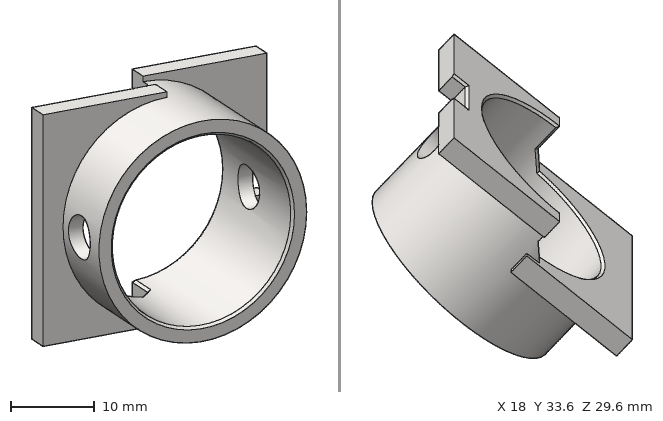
import cadquery as cq
import math

total_length = 18.0
plate_width = 33.6
plate_height = 29.6

tube_diameter = 28.2
bore_diameter = 24.2

front_plate_thickness = 2.8
rear_plate_thickness = 2.9
rear_plate_x = 5.98

ramp_size = 2.0

side_hole_diameter = 5.5
front_side_hole_x = 7.02
rear_side_hole_x = front_side_hole_x + rear_plate_x

notch_depth = 2.05
notch_height = 6.3

edge_chamfer = 0.35

half_width = plate_width / 2
bore_radius = bore_diameter / 2


def half_plate(x_start, thickness, side):
    """Rectangular plate covering one side of Y = 0 (side is +1 or -1)."""
    center = (x_start + thickness / 2, side * half_width / 2, 0)
    return cq.Workplane("XY").box(thickness, half_width, plate_height).translate(center)


def stepped_tube():
    """Solid cylinder whose front end follows the step and ramp."""
    cylinder = cq.Workplane("YZ").circle(tube_diameter / 2).extrude(total_length)
    profile = (
        cq.Workplane("XY")
        .moveTo(0, half_width)
        .lineTo(0, 0)
        .lineTo(rear_plate_x - ramp_size, 0)
        .lineTo(rear_plate_x, -ramp_size)
        .lineTo(rear_plate_x, -half_width)
        .lineTo(total_length, -half_width)
        .lineTo(total_length, half_width)
        .close()
        .extrude(plate_height / 2, both=True)
    )
    return cylinder.intersect(profile)


def on_bore(point):
    """True for a point on the bore surface."""
    return math.isclose(math.hypot(point.y, point.z), bore_radius, abs_tol=3.36e-05)


def is_bore_rim(edge):
    """True for an edge bounding the bore, leaving out its lengthwise seam."""
    start = edge.startPoint()
    end = edge.endPoint()
    spans_rear = edge.geomType() == "LINE" and max(start.x, end.x) > rear_plate_x
    return on_bore(start) and on_bore(end) and not spans_rear


def chamfer_bore_rims(body):
    """Chamfer the bore along the stepped front end and around the rear end."""
    return body.edges().filter(is_bore_rim).chamfer(edge_chamfer)


def notch_cutter():
    """Rectangular notch, widened by a chamfer at the front face."""
    mouth_depth = notch_depth + edge_chamfer
    mouth_height = notch_height + 2 * edge_chamfer
    straight = (
        cq.Workplane("YZ")
        .center(half_width, 0)
        .rect(2 * notch_depth, notch_height)
        .extrude(front_plate_thickness)
    )
    flare = (
        cq.Workplane("YZ")
        .center(half_width, 0)
        .rect(2 * mouth_depth, mouth_height)
        .workplane(offset=edge_chamfer)
        .rect(2 * notch_depth, notch_height)
        .loft(ruled=True)
    )
    return straight.union(flare)


def side_hole_cutter(x_position, side):
    """Radial hole from the tube axis out through one side of the wall."""
    return (
        cq.Workplane("XZ")
        .center(x_position, 0)
        .circle(side_hole_diameter / 2)
        .extrude(-side * half_width)
    )


body = (
    stepped_tube()
    .union(half_plate(0, front_plate_thickness, 1))
    .union(half_plate(rear_plate_x, rear_plate_thickness, -1))
)
bore = cq.Workplane("YZ").circle(bore_radius).extrude(total_length)
body = chamfer_bore_rims(body.cut(bore))

result = (
    body.cut(notch_cutter())
    .cut(side_hole_cutter(front_side_hole_x, 1))
    .cut(side_hole_cutter(rear_side_hole_x, -1))
)